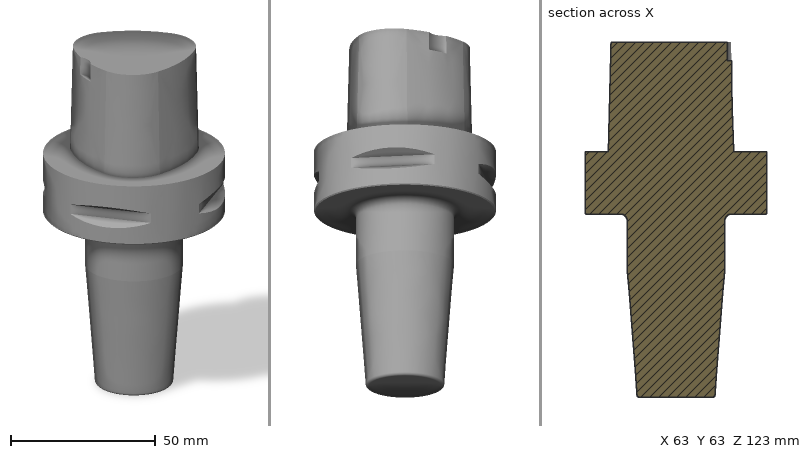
import cadquery as cq
import math

total_height = 123.0
flange_top = 85.1
flange_bottom = 63.3
cone_top = 44.0

flange_radius = 63.0 / 2
neck_radius = 34.0 / 2
nose_radius = 13.5
nose_fillet = 1.0
neck_fillet = 2.2
flange_chamfer = 0.4

lobe_reach = 23.5
lobe_center_distance = 9.2
flat_center_distance = 20.3
shank_taper = math.degrees(math.atan(1 / 40))

notch_radius = 6.2
notch_inner_y = -17.8
notch_depth = 6.4

slot_count = 4
slot_first_angle = 45
slot_z = 73.1
slot_floor_distance = 27.9
slot_floor_height = 3.5
slot_wall_angle = 30


def polar(radius, angle):
    """Point at a distance from the axis and an angle in degrees."""
    a = math.radians(angle)
    return (radius * math.cos(a), radius * math.sin(a))


def make_body():
    """Flange, filleted neck and tapered nose as one turned solid."""
    profile = (
        cq.Workplane("XZ")
        .lineTo(nose_radius, 0)
        .lineTo(neck_radius, cone_top)
        .lineTo(neck_radius, flange_bottom - neck_fillet)
        .radiusArc((neck_radius + neck_fillet, flange_bottom), neck_fillet)
        .lineTo(flange_radius - flange_chamfer, flange_bottom)
        .lineTo(flange_radius, flange_bottom + flange_chamfer)
        .lineTo(flange_radius, flange_top)
        .lineTo(0, flange_top)
        .close()
    )
    body = profile.revolve(360, (0, 0, 0), (0, 1, 0))
    return body.faces("<Z").edges().fillet(nose_fillet)


def make_shank():
    """Three lobe arcs joined tangentially by three shallow side arcs, with taper."""
    lobe_radius = lobe_reach - lobe_center_distance
    center_gap = math.sqrt(
        lobe_center_distance**2
        + flat_center_distance**2
        + lobe_center_distance * flat_center_distance
    )
    flat_reach = center_gap + lobe_radius - flat_center_distance

    flat_center = polar(flat_center_distance, -120)
    stretch = lobe_radius / center_gap
    joint_x = lobe_center_distance + stretch * (lobe_center_distance - flat_center[0])
    joint_y = -stretch * flat_center[1]
    joint_distance = math.hypot(joint_x, joint_y)
    joint_angle = math.degrees(math.atan2(joint_y, joint_x))

    outline = cq.Workplane("XY").workplane(offset=flange_top)
    outline = outline.moveTo(*polar(joint_distance, 90 - joint_angle))
    for lobe_angle in (90, 210, 330):
        outline = outline.threePointArc(
            polar(lobe_reach, lobe_angle),
            polar(joint_distance, lobe_angle + joint_angle),
        )
        outline = outline.threePointArc(
            polar(flat_reach, lobe_angle + 60),
            polar(joint_distance, lobe_angle + 120 - joint_angle),
        )
    return outline.close().extrude(total_height - flange_top, taper=shank_taper)


def make_notch():
    """Upright cylinder that cuts the notch into the -Y side of the shank."""
    return (
        cq.Workplane("XY")
        .workplane(offset=total_height - notch_depth)
        .center(0, notch_inner_y - notch_radius)
        .circle(notch_radius)
        .extrude(notch_depth)
    )


def make_slot(angle):
    """Straight slot with a flat floor and flared walls, facing the given angle."""
    depth = flange_radius - slot_floor_distance
    floor_half = slot_floor_height / 2
    mouth_half = floor_half + depth * math.tan(math.radians(slot_wall_angle))
    return (
        cq.Workplane("XZ")
        .moveTo(slot_floor_distance, slot_z - floor_half)
        .lineTo(flange_radius, slot_z - mouth_half)
        .lineTo(flange_radius, slot_z + mouth_half)
        .lineTo(slot_floor_distance, slot_z + floor_half)
        .close()
        .extrude(flange_radius, both=True)
        .rotate((0, 0, 0), (0, 0, 1), angle)
    )


result = make_body().union(make_shank()).cut(make_notch())
for index in range(slot_count):
    result = result.cut(make_slot(slot_first_angle + index * 360 / slot_count))